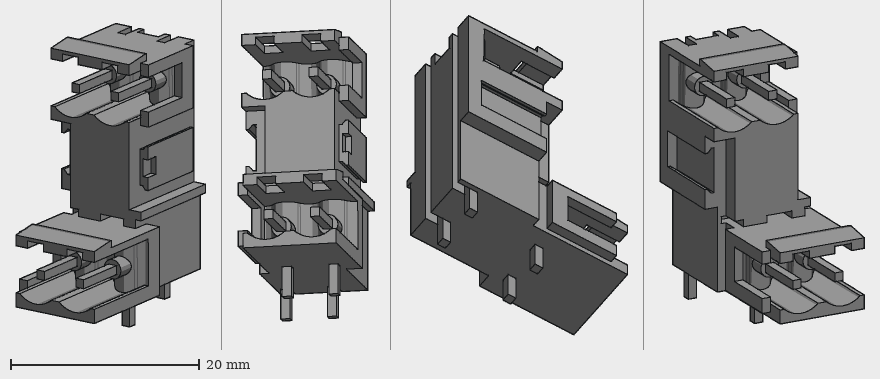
import cadquery as cq
import math


OVERALL_WIDTH = 12.7
CONTACTS = 2
HALF_PITCH = OVERALL_WIDTH / (2 * CONTACTS + 1)
PITCH = 2 * HALF_PITCH
SOCKET_WIDTH = CONTACTS * PITCH

STEP_X = HALF_PITCH
STEP_Y = -10.12
STEP_Z = -17.73
UPPER_OFFSET = (0, 0, -STEP_Z)
LOWER_OFFSET = (STEP_X, STEP_Y, 0)

SOCKET_DEPTH = 12.03
DECK_TOP = 7.65
DECK_BOTTOM = 6.82
FLOOR_Z = 1.6
PIN_Z = 3.75
CHANNEL_RADIUS = 2.97

LIP_BACK_Y = -8.85
LIP_RIDGE_Y = -9.15
LIP_TOP = 8.45
LIP_FRONT_TOP = 8.03

WINDOW_WIDTH = 2.03
WINDOW_BACK_Y = -7.82

CREST_Y = -3.45
WALL_LEAN = 1.0
CREST_RADIUS = 1.55
VALLEY_RADIUS = 1.3
WALL_FLANK = 0.35

PIN_SIZE = 1.0
PIN_TIP_Y = -11.05
TAIL_Y = -2.03
TAIL_LENGTH = 3.24

COLLAR_DIAMETER = 2.15
COLLAR_BACK_Y = TAIL_Y - PIN_SIZE
COLLAR_FRONT_Y = -5.0

FLANGE_THICKNESS = 1.03
FLANGE_BACK_Y = -1.68
FLANGE_FRONT_Y = -9.9
FLANGE_BOTTOM = 0.7
FLANGE_THROAT_Y = -3.68
FLANGE_SLOT_BOTTOM = 2.38
FLANGE_SLOT_TOP = 6.25

TOWER_TOP = DECK_TOP - STEP_Z
TOWER_REAR_DEPTH = 10.03
BASE_LEFT = 1.5
LEDGE_RIGHT = SOCKET_WIDTH + BASE_LEFT
LEDGE_TOP = 9.6
LEDGE_BOTTOM = 8.62
NOTCH_TOP = 17.82

SLIT_LEFT = 2.0
SLIT_TOP = 8.45
SLIT_BACK_Y = -8.82
FEET = [(3.6, 6.4), (9.45, 10.97)]

DOVETAIL_Z = 13.82
DOVETAIL_NECK = 4.03
DOVETAIL_BACK_Y = -1.68
GROOVE_DEPTH = 1.12
GROOVE_HEAD = 5.05
GROOVE_NECK_DEPTH = 0.32
GROOVE_HEAD_DEPTH = 0.8
RAIL_DEPTH = 1.03
RAIL_HEAD = 4.88
RAIL_NECK_DEPTH = 0.32
RAIL_HEAD_DEPTH = 0.7
RAIL_SLOT_HEIGHT = 1.97
RAIL_SLOT_DEPTH = 0.65
RAIL_SLOT_LENGTH = 1.47

RECESS_LEFT = 3.68
RECESS_RIGHT = 6.38
RECESS_DEPTH = 1.2
RECESS_HEIGHT = 1.75


def block(x_range, y_range, z_range):
    """Box between two limits along each axis."""
    sizes = [abs(limits[1] - limits[0]) for limits in (x_range, y_range, z_range)]
    corner = (min(x_range), min(y_range), min(z_range))
    return cq.Workplane("XY").box(*sizes, centered=False).translate(corner)


def contact_xs():
    """Places of the contacts along X, from the left side of a socket."""
    return [(i + 0.5) * PITCH for i in range(CONTACTS)]


def socket_cavity():
    """Space between floor and deck, closed at the rear by a leaning wall of alternating arcs."""
    radius_sum = CREST_RADIUS + VALLEY_RADIUS
    flank_angle = math.atan2(WALL_FLANK, radius_sum)
    slope = math.asin(HALF_PITCH / math.hypot(radius_sum, WALL_FLANK)) - flank_angle
    crest_x = CREST_RADIUS * math.sin(slope)
    crest_end_y = CREST_Y + CREST_RADIUS * (1 - math.cos(slope))
    valley_x = crest_x + WALL_FLANK * math.cos(slope)
    valley_end_y = crest_end_y + WALL_FLANK * math.sin(slope)
    valley_y = valley_end_y + VALLEY_RADIUS * (1 - math.cos(slope))

    outline = cq.Workplane("XY").moveTo(valley_x - HALF_PITCH, valley_end_y)
    for x in [*contact_xs(), SOCKET_WIDTH + HALF_PITCH]:
        outline = (
            outline.threePointArc((x - HALF_PITCH, valley_y), (x - valley_x, valley_end_y))
            .lineTo(x - crest_x, crest_end_y)
            .threePointArc((x, CREST_Y), (x + crest_x, crest_end_y))
            .lineTo(x + valley_x, valley_end_y)
        )
    beyond_front = -2 * SOCKET_DEPTH
    outline = outline.lineTo(SOCKET_WIDTH + PITCH, beyond_front).lineTo(-PITCH, beyond_front).close()
    space = outline.extrude(2 * DECK_TOP, both=True)
    space = space.rotate((0, CREST_Y, FLOOR_Z), (1, CREST_Y, FLOOR_Z), WALL_LEAN)

    section = block((0, SOCKET_WIDTH), (0, -SOCKET_DEPTH), (FLOOR_Z, DECK_BOTTOM))
    for x in contact_xs():
        channel = cq.Workplane("XZ", origin=(x, 0, PIN_Z)).circle(CHANNEL_RADIUS).extrude(SOCKET_DEPTH)
        section = section.union(channel)
    return space.intersect(section)


def socket_flange(inner_x, outer_x):
    """U-shaped flange, open to the front, between two places along X."""
    flange = block((inner_x, outer_x), (FLANGE_BACK_Y, FLANGE_FRONT_Y), (FLANGE_BOTTOM, DECK_TOP))
    opening = block(
        (inner_x, outer_x), (FLANGE_THROAT_Y, FLANGE_FRONT_Y), (FLANGE_SLOT_BOTTOM, FLANGE_SLOT_TOP)
    )
    return flange.cut(opening)


def socket(rear_y):
    """Front socket with floor, deck, latch lip and collars; its solid part starts at rear_y."""
    body = block((0, SOCKET_WIDTH), (rear_y, -SOCKET_DEPTH), (0, DECK_TOP))
    lip = (
        cq.Workplane("YZ")
        .polyline([
            (LIP_BACK_Y, DECK_BOTTOM),
            (LIP_BACK_Y, LIP_TOP),
            (LIP_RIDGE_Y, LIP_TOP),
            (-SOCKET_DEPTH, LIP_FRONT_TOP),
            (-SOCKET_DEPTH, DECK_BOTTOM),
        ])
        .close()
        .extrude(SOCKET_WIDTH)
    )
    body = body.union(lip).cut(socket_cavity())
    for x in contact_xs():
        half_window = WINDOW_WIDTH / 2
        window = block(
            (x - half_window, x + half_window), (WINDOW_BACK_Y, -SOCKET_DEPTH), (DECK_BOTTOM, DECK_TOP)
        )
        collar = (
            cq.Workplane("XZ", origin=(x, COLLAR_BACK_Y, PIN_Z))
            .circle(COLLAR_DIAMETER / 2)
            .extrude(COLLAR_BACK_Y - COLLAR_FRONT_Y)
        )
        body = body.cut(window).union(collar)
    return body


def dovetail(depth, neck_depth, head_depth, head, front_y):
    """Dovetail bar along Y that widens from its neck at X = 0 towards +X."""
    half_neck = DOVETAIL_NECK / 2
    half_head = head / 2
    return (
        cq.Workplane("XZ", origin=(0, DOVETAIL_BACK_Y, DOVETAIL_Z))
        .polyline([
            (0, -half_neck),
            (neck_depth, -half_neck),
            (head_depth, -half_head),
            (depth, -half_head),
            (depth, half_head),
            (head_depth, half_head),
            (neck_depth, half_neck),
            (0, half_neck),
        ])
        .close()
        .extrude(DOVETAIL_BACK_Y - front_y)
    )


def dovetail_rail():
    """Rail on the right of the tower, with a short slot in the front of its outer face."""
    rail = dovetail(RAIL_DEPTH, RAIL_NECK_DEPTH, RAIL_HEAD_DEPTH, RAIL_HEAD, -TOWER_REAR_DEPTH)
    slot = block(
        (RAIL_DEPTH - RAIL_SLOT_DEPTH, RAIL_DEPTH),
        (RAIL_SLOT_LENGTH - TOWER_REAR_DEPTH, -TOWER_REAR_DEPTH),
        (DOVETAIL_Z - RAIL_SLOT_HEIGHT / 2, DOVETAIL_Z + RAIL_SLOT_HEIGHT / 2),
    )
    return rail.cut(slot).translate((SOCKET_WIDTH, 0, 0))


def tower():
    """Column that carries the upper socket, with its base, ledge and dovetails."""
    socket_bottom = UPPER_OFFSET[2]
    base_right = FEET[-1][1]
    rear = block((0, SOCKET_WIDTH), (0, -TOWER_REAR_DEPTH), (LEDGE_TOP, socket_bottom))
    front = block((HALF_PITCH, SOCKET_WIDTH), (0, -SOCKET_DEPTH), (LEDGE_TOP, socket_bottom))
    ledge = block((HALF_PITCH, LEDGE_RIGHT), (0, -SOCKET_DEPTH), (LEDGE_BOTTOM, LEDGE_TOP))
    base = block((BASE_LEFT, base_right), (0, -TOWER_REAR_DEPTH), (0, LEDGE_TOP))
    base_front = block((HALF_PITCH, base_right), (0, -SOCKET_DEPTH), (DECK_TOP, LEDGE_TOP))
    groove = dovetail(GROOVE_DEPTH, GROOVE_NECK_DEPTH, GROOVE_HEAD_DEPTH, GROOVE_HEAD, -TOWER_REAR_DEPTH)
    column = rear.union(front).union(ledge).union(base).union(base_front)
    return column.cut(groove).union(dovetail_rail())


def deck_slit():
    """Slit above the lower deck, interrupted by the feet of the tower."""
    y_range = (SLIT_BACK_Y, -SOCKET_DEPTH)
    z_range = (DECK_TOP, SLIT_TOP)
    slit = block((SLIT_LEFT, FEET[-1][1]), y_range, z_range)
    for foot in FEET:
        slit = slit.cut(block(foot, y_range, z_range))
    return slit


def rear_recess():
    """Recess in the rear top edge of the tower."""
    return block((RECESS_LEFT, RECESS_RIGHT), (0, -RECESS_DEPTH), (TOWER_TOP - RECESS_HEIGHT, TOWER_TOP))


def tail_slots():
    """Slots, open to the rear over the full height, for the legs of the upper pins."""
    return [
        block((x - PIN_SIZE / 2, x + PIN_SIZE / 2), (0, TAIL_Y - PIN_SIZE / 2), (0, TOWER_TOP))
        for x in contact_xs()
    ]


def bent_pin(tail_height):
    """Square pin at X = 0: forward arm on the contact axis and a leg tail_height long below it."""
    half = PIN_SIZE / 2
    arm = block((-half, half), (TAIL_Y + half, PIN_TIP_Y), (PIN_Z - half, PIN_Z + half))
    leg = block((-half, half), (TAIL_Y - half, TAIL_Y + half), (PIN_Z - tail_height, PIN_Z + half))
    return arm.union(leg)


def level_pins(offset):
    """Pins of the socket whose corner lies at the given offset, all ending on one level."""
    tail_height = PIN_Z + offset[2] + TAIL_LENGTH
    return [bent_pin(tail_height).translate((x, 0, 0)).translate(offset) for x in contact_xs()]


pins = level_pins(UPPER_OFFSET) + level_pins(LOWER_OFFSET)


def build_housing():
    """Tower with both sockets and their flanges, cut out to fit the pins."""
    upper = socket(0).union(socket_flange(SOCKET_WIDTH, SOCKET_WIDTH + FLANGE_THICKNESS))
    lower = socket(-STEP_Y - TOWER_REAR_DEPTH).union(socket_flange(-FLANGE_THICKNESS, 0))
    notch = block((0, HALF_PITCH), (-TOWER_REAR_DEPTH, -SOCKET_DEPTH), (UPPER_OFFSET[2], NOTCH_TOP))

    housing = tower().union(upper.translate(UPPER_OFFSET)).cut(notch)
    housing = housing.cut(deck_slit()).union(lower.translate(LOWER_OFFSET))
    housing = housing.cut(rear_recess())
    for opening in tail_slots() + pins:
        housing = housing.cut(opening)
    return housing


housing = build_housing()

result = cq.Compound.makeCompound([housing.val(), *[pin.val() for pin in pins]])